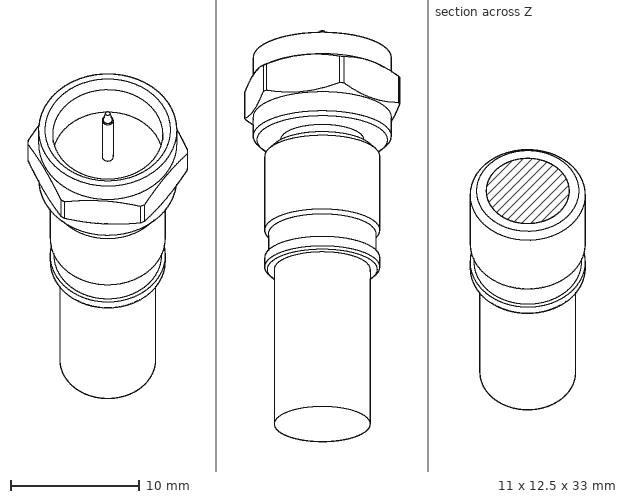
import cadquery as cq
import math


total_height = 33.0
flange_bottom = 13.0
flange_top = 14.0
sleeve_bottom = 16.0
sleeve_top = 23.0
nut_bottom = 23.9
hex_bottom = 25.8
hex_top = 29.0
nut_top = 30.8

cable_radius = 3.75
groove_radius = 4.2
sleeve_radius = 4.5
neck_radius = 3.25
nut_radius = 5.4

flange_chamfer = 0.2
sleeve_bottom_chamfer = sleeve_radius - groove_radius
sleeve_top_chamfer = 0.5
nut_chamfer = 0.3

hex_sides = 6
hex_across_flats = 11.0
hex_corner_radius = 6.25
hex_chamfer_angle = 30.0

mouth_radius = 4.3
mouth_depth = 3.6
mouth_chamfer = 0.6

pin_radius = 0.43
pin_shoulder_radius = 0.35
pin_tip_radius = 0.18
pin_tip_length = 0.85
pin_shoulder_length = pin_radius - pin_shoulder_radius

mouth_floor = nut_top - mouth_depth


def revolve_profile(points):
    """Turn a closed (radius, height) outline about the Z axis."""
    return cq.Workplane("XZ").polyline(points).close().revolve(360, (0, 0, 0), (0, 1, 0))


def make_turned_body():
    """Cable, flange, groove, sleeve, neck and the round part of the nut, without the mouth."""
    return revolve_profile([
        (0, 0),
        (cable_radius, 0),
        (cable_radius, flange_bottom),
        (sleeve_radius - flange_chamfer, flange_bottom),
        (sleeve_radius, flange_bottom + flange_chamfer),
        (sleeve_radius, flange_top),
        (groove_radius, flange_top),
        (groove_radius, sleeve_bottom),
        (sleeve_radius, sleeve_bottom + sleeve_bottom_chamfer),
        (sleeve_radius, sleeve_top - sleeve_top_chamfer),
        (sleeve_radius - sleeve_top_chamfer, sleeve_top),
        (neck_radius, sleeve_top),
        (neck_radius, nut_bottom),
        (nut_radius - nut_chamfer, nut_bottom),
        (nut_radius, nut_bottom + nut_chamfer),
        (nut_radius, nut_top),
        (0, nut_top),
    ])


def make_hex_grip():
    """Hexagon with flats facing -X and +X, its corners turned round and coned at both ends."""
    half_side_angle = 180 / hex_sides
    corner_diameter = hex_across_flats / math.cos(math.radians(half_side_angle))
    hexagon = (
        cq.Workplane("XY")
        .workplane(offset=hex_bottom)
        .transformed(rotate=(0, 0, half_side_angle))
        .polygon(hex_sides, corner_diameter)
        .extrude(hex_top - hex_bottom)
    )
    cone_height = (hex_corner_radius - nut_radius) * math.tan(math.radians(hex_chamfer_angle))
    envelope = revolve_profile([
        (0, hex_bottom),
        (nut_radius, hex_bottom),
        (hex_corner_radius, hex_bottom + cone_height),
        (hex_corner_radius, hex_top - cone_height),
        (nut_radius, hex_top),
        (0, hex_top),
    ])
    return hexagon.intersect(envelope)


def make_mouth():
    """Space removed from the open end of the nut, with a chamfered entry."""
    return revolve_profile([
        (0, mouth_floor),
        (mouth_radius, mouth_floor),
        (mouth_radius, nut_top - mouth_chamfer),
        (mouth_radius + mouth_chamfer, nut_top),
        (0, nut_top),
    ])


def make_pin():
    """Centre pin rising from the neck, with a chamfered shoulder below a tapered tip."""
    shoulder_top = total_height - pin_tip_length
    return revolve_profile([
        (0, sleeve_top),
        (pin_radius, sleeve_top),
        (pin_radius, shoulder_top - pin_shoulder_length),
        (pin_shoulder_radius, shoulder_top),
        (pin_tip_radius, total_height),
        (0, total_height),
    ])


result = make_turned_body().union(make_hex_grip()).cut(make_mouth()).union(make_pin())